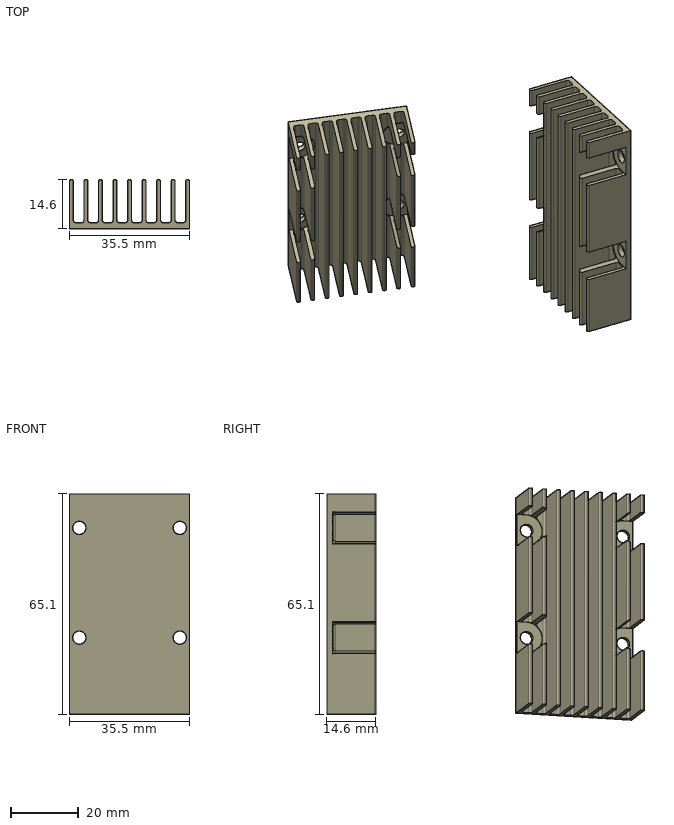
import cadquery as cq

width = 35.55
depth = 14.6
height = 65.1

fin_count = 9
fin_thickness = 1.2
base_thickness = 1.8
root_radius = 0.8
tip_radius = 0.57
fin_pitch = (width - fin_thickness) / (fin_count - 1)
channel_width = fin_pitch - fin_thickness

hole_diameter = 3.85
hole_offset = 14.85
upper_hole_z = 55.1
hole_spacing = 32.4
slot_width = 9.45
slot_floor = 1.6

hole_heights = (upper_hole_z - hole_spacing, upper_hole_z)


def make_block():
    """Solid block with its front face on Y = 0, centred on X."""
    return cq.Workplane("XY").box(width, depth, height, centered=(True, False, False))


def make_channel(center_x):
    """Full-height gap between two fins, with rounded corners at the fin roots."""
    return (
        cq.Workplane("XY")
        .box(channel_width, depth, height, centered=(True, False, False))
        .faces("<Y")
        .edges("|Z")
        .fillet(root_radius)
        .translate((center_x, base_thickness, 0))
    )


def round_fin_tips(body):
    """Round the free edges of the fins into nearly full semicircles."""
    return body.faces(">Y").edges("|Z").fillet(tip_radius)


def make_slot(side, center_z):
    """Clearance slot around a hole: round inner end, open at the outer side."""
    center_x = side * hole_offset
    round_end = (
        cq.Workplane("XZ", origin=(center_x, slot_floor, center_z))
        .circle(slot_width / 2)
        .extrude(-depth)
    )
    open_end = (
        cq.Workplane("XZ", origin=(center_x + side * slot_width / 2, slot_floor, center_z))
        .rect(slot_width, slot_width)
        .extrude(-depth)
    )
    return round_end.union(open_end)


def make_hole(side, center_z):
    """Screw hole straight through the base plate."""
    return (
        cq.Workplane("XZ", origin=(side * hole_offset, 0, center_z))
        .circle(hole_diameter / 2)
        .extrude(-depth)
    )


heatsink = make_block()

first_channel_x = -width / 2 + fin_thickness + channel_width / 2
for index in range(fin_count - 1):
    heatsink = heatsink.cut(make_channel(first_channel_x + index * fin_pitch))

heatsink = round_fin_tips(heatsink)

for side in (-1, 1):
    for center_z in hole_heights:
        heatsink = heatsink.cut(make_slot(side, center_z))
        heatsink = heatsink.cut(make_hole(side, center_z))

result = heatsink